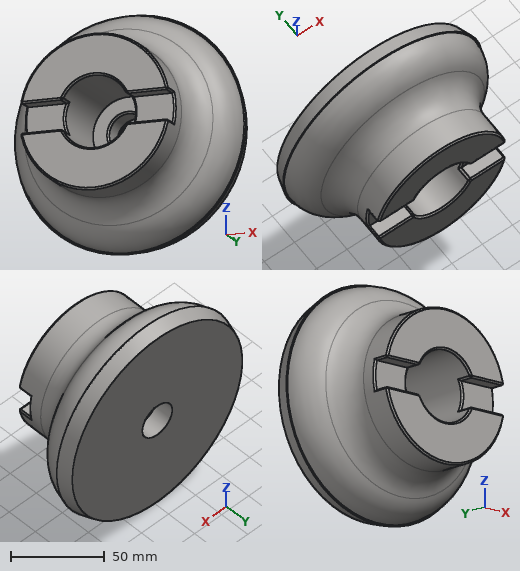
import cadquery as cq

length = 63.0
rim_radius = 65.7
back_radius = 63.0
rim_height = 9.1
rim_step = 0.9
hub_radius = 43.0
hub_height = 17.9

bore_radius = 11.0
counterbore_radius = 20.0
counterbore_depth = 50.0
slot_width = 16.3
slot_depth = 9.1
edge_chamfer = 1.0

rim_y = length - rim_height
shoulder_radius = rim_radius - rim_step
tolerance = 0.01


def make_body():
    """Revolve the hub, S-shaped shoulder and tapered rim about Y."""
    inflection = ((hub_radius + shoulder_radius) / 2, (hub_height + rim_y) / 2)
    return (
        cq.Workplane("XY")
        .lineTo(hub_radius, 0)
        .lineTo(hub_radius, hub_height)
        .tangentArcPoint(inflection, relative=False)
        .tangentArcPoint((shoulder_radius, rim_y), relative=False)
        .lineTo(rim_radius, rim_y)
        .lineTo(back_radius, length)
        .lineTo(0, length)
        .close()
        .revolve(360, (0, 0, 0), (0, 1, 0))
    )


def make_cylinder(radius, depth):
    """Cylinder running from the hub face toward +Y."""
    return cq.Workplane("XZ").circle(radius).extrude(-depth)


def make_slot():
    """Driving slot across the hub face, along X."""
    return cq.Workplane("XY").box(2 * rim_radius, 2 * slot_depth, slot_width)


def is_chamfered(edge):
    """True for the outer edges of the hub face and slot, and the bore's inner edge."""
    center = edge.Center()
    box = edge.BoundingBox()
    if abs(box.ymin - counterbore_depth) < tolerance and box.ylen < tolerance:
        return box.zmax < bore_radius + tolerance
    if box.ymax > slot_depth + tolerance:
        return False
    on_face = box.ymax < tolerance
    on_slot_wall = abs(abs(center.z) - slot_width / 2) < tolerance
    on_slot_floor = box.ymin > slot_depth - tolerance
    return on_face or on_slot_wall != on_slot_floor


def chamfer_edges(part):
    """Bevel every selected edge by the same amount."""
    edges = [edge for edge in part.edges().vals() if is_chamfered(edge)]
    return part.newObject(edges).chamfer(edge_chamfer)


result = (
    make_body()
    .cut(make_cylinder(counterbore_radius, counterbore_depth))
    .cut(make_cylinder(bore_radius, length))
    .cut(make_slot())
)
result = chamfer_edges(result)